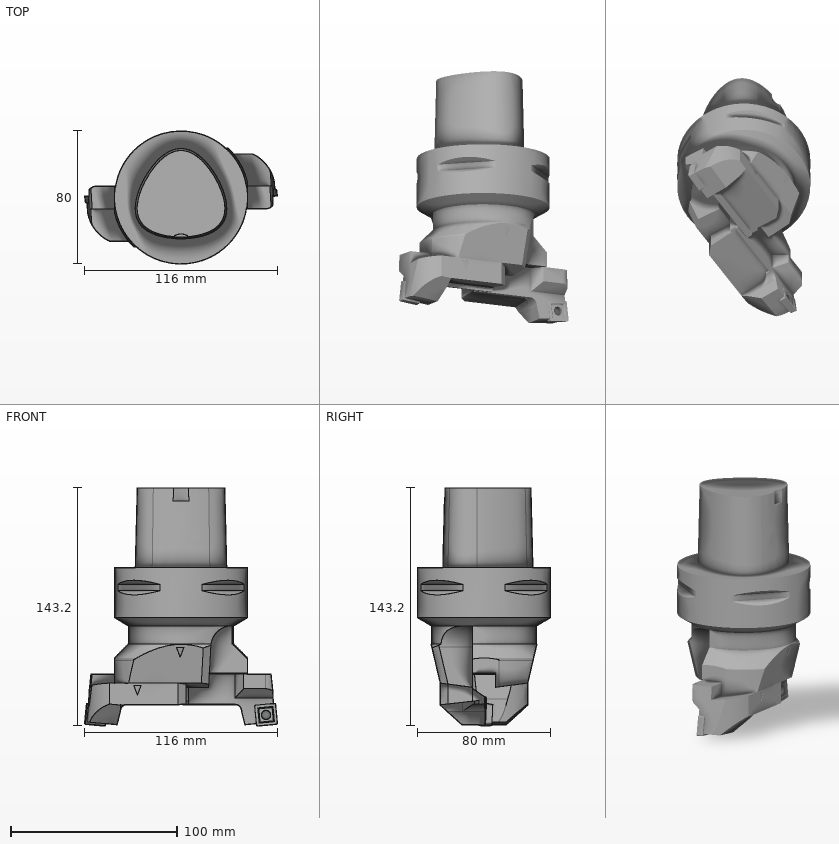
import cadquery as cq
import math


SHANK_LENGTH = 48.0
LOBE_MEAN_RADIUS = 27.15
LOBE_ECCENTRICITY = 2.3
LOBE_SPACING = 120
LOBE_HALF_ANGLE = 26.0
LOBE_SPLINE_POINTS = 9
TAPER_PER_SIDE = SHANK_LENGTH / 40
NOTCH_RADIUS = 7.25
NOTCH_WIDTH = 10.0
NOTCH_HEIGHT = 8.0
NOTCH_FLOOR_Y = -21.9

FLANGE_RADIUS = 40.0
FLANGE_HEIGHT = 30.0
GROOVE_ANGLES = (45, 135, 225, 315)
GROOVE_DEPTH = 4.3
GROOVE_FLOOR_HEIGHT = 3.6
GROOVE_MOUTH_HEIGHT = 8.8
GROOVE_Z = -11.9

NECK_RADIUS = 31.5
NECK_TOP_Z = -35.0
NECK_BOTTOM_Z = -45.7
HEAD_RADIUS = 41.0
HEAD_FLAT_X = 40.0
HEAD_EDGE_FILLET = 1.2
HEAD_CONE_BOTTOM_Z = NECK_BOTTOM_Z - (HEAD_RADIUS - NECK_RADIUS)

SLOT_HALF_WIDTH = 6.85
SLOT_ROOF_Z = -63.4
FLUTE_TOP_Z = -34.9
FLUTE_RADIUS = 12.7
FLUTE_WALL_TOP_X = 17.9
FLUTE_WALL_BOTTOM_X = 16.6
FLANK_CHAMFER = 4.5

SIDE_Y = 26.3
SIDE_TOP_Z = -69.3
SIDE_BOTTOM_Z = -82.4
WEDGE_ANGLE = 7.5
FLOOR_ANGLE = 6.5
RIB_SIDE_Y = -3.0
RIB_BOTTOM_Z = -82.0
WING_TOP_INNER_Z = SIDE_TOP_Z - (SIDE_Y - SLOT_HALF_WIDTH) * math.tan(math.radians(WEDGE_ANGLE))
FLANK_TILT = 13.3
KEY_TOP_Z = -63.9
WING_END_X = 3.0
WING_CHAMFER = 4.7
KEY_END_X = 4.6
LEFT_CHIP_FACE_Y = 0.5
RIGHT_CHIP_FACE_Y = -1.3
CHIP_ROOF_OUTER_Z = -72.7
CHIP_ROOF_INNER_Z = -78.2
CHIP_WALL_OUTER_X = -37.7
CHIP_WALL_INNER_X = -32.5
NOSE_CENTER_X = -33.0
NOSE_CENTER_Y = -5.0
NOSE_RADIUS = 23.5
KEY_CORNER_X = -50.8
KEY_CORNER_RADIUS = 5.5
END_TOP_X = -53.8
END_KNEE_X = -55.5
END_KNEE_Z = -79.0
END_BOTTOM_X = -56.9
END_SKEW = 3.5

ARM_BOTTOM_Z = -94.4
ARM_BOTTOM_SIDE_Y = -13.3
ARM_INNER_X = -36.4
ARM_INNER_BOTTOM_X = -38.4
ROOT_FILLET = 4.4
ROOT_SIDE_Y = -12.8
ROOT_SIDE_RADIUS = 8.0
ARM_TAPER_TOP_Z = RIB_BOTTOM_Z - ROOT_FILLET

INSERT_SIDE = 12.7
INSERT_THICKNESS = 3.97
INSERT_CORNER_RADIUS = 0.8
INSERT_CLEARANCE = 7.0
INSERT_TURN = 5.5
INSERT_LEAN = 2.5
INSERT_PROUD = INSERT_SIDE / 2 * math.sin(math.radians(INSERT_LEAN))
INSERT_TIP_X = -57.98
INSERT_TIP_Z = -95.21
INSERT_HOLE_DIAMETER = 5.5
INSERT_RECESS_SIDE = 9.2
INSERT_RECESS_DEPTH = 0.6
INSERT_RECESS_TAPER = 45.0

MARK_WIDTH = 4.4
MARK_HEIGHT = 5.8
MARK_DEPTH = 0.2
HOLDER_MARK_X = -0.5
HOLDER_MARK_TOP_Z = -48.0
SLIDE_MARK_X = -26.2
SLIDE_MARK_TOP_Z = -70.7

REACH = 100.0
EDGE_PICK_MARGIN = 0.1


def half_turn(body):
    turn = cq.Location(cq.Vector(0, 0, 0), cq.Vector(0, 0, 1), 180)
    return cq.Workplane(body.val().moved(turn))


def along_x(points, x_start, x_end):
    """Prism of a (y, z) outline between two X positions."""
    return cq.Workplane("YZ", origin=(x_start, 0, 0)).polyline(points).close().extrude(x_end - x_start)


def along_y(points, y_start, y_end):
    """Prism of an (x, z) outline between two Y positions."""
    return cq.Workplane("XZ", origin=(0, y_start, 0)).polyline(points).close().extrude(y_start - y_end)


def lobed_point(mean_radius, angle):
    """Point on a three-lobed curve with one lobe toward +Y; the angle runs from that lobe."""
    turn = math.radians(angle)
    x = mean_radius * math.sin(turn) - LOBE_ECCENTRICITY * math.sin(2 * turn)
    y = mean_radius * math.cos(turn) + LOBE_ECCENTRICITY * math.cos(2 * turn)
    return x, y


def lobed_wire(mean_radius, z):
    """Closed three-lobed outline made of three lobe arcs and the three flatter arcs between them."""
    edges = []
    for lobe_angle in (0, LOBE_SPACING, 2 * LOBE_SPACING):
        lobe_start = lobe_angle - LOBE_HALF_ANGLE
        lobe_end = lobe_angle + LOBE_HALF_ANGLE
        next_lobe_start = lobe_start + LOBE_SPACING
        for start, end in ((lobe_start, lobe_end), (lobe_end, next_lobe_start)):
            step = (end - start) / (LOBE_SPLINE_POINTS - 1)
            angles = [start + step * i for i in range(LOBE_SPLINE_POINTS)]
            points = [cq.Vector(*lobed_point(mean_radius, angle), z) for angle in angles]
            edges.append(cq.Edge.makeSpline(points))
    return cq.Wire.assembleEdges(edges)


def make_shank():
    bottom = lobed_wire(LOBE_MEAN_RADIUS, 0)
    top = lobed_wire(LOBE_MEAN_RADIUS - TAPER_PER_SIDE, SHANK_LENGTH)
    shank = cq.Workplane(cq.Solid.makeLoft([bottom, top], True))
    notch_base = cq.Workplane("XY", origin=(0, NOTCH_FLOOR_Y - NOTCH_RADIUS, SHANK_LENGTH - NOTCH_HEIGHT))
    notch_floor = notch_base.circle(NOTCH_RADIUS).extrude(NOTCH_HEIGHT)
    notch_sides = notch_base.rect(NOTCH_WIDTH, 2 * NOTCH_RADIUS).extrude(NOTCH_HEIGHT)
    return shank.cut(notch_floor.intersect(notch_sides))


def make_turned_body():
    profile = [
        (0, 0),
        (FLANGE_RADIUS, 0),
        (FLANGE_RADIUS, -FLANGE_HEIGHT),
        (NECK_RADIUS, NECK_TOP_Z),
        (NECK_RADIUS, NECK_BOTTOM_Z),
        (HEAD_RADIUS, HEAD_CONE_BOTTOM_Z),
        (HEAD_RADIUS, WING_TOP_INNER_Z),
        (0, WING_TOP_INNER_Z),
    ]
    body = cq.Workplane("XZ").polyline(profile).close().revolve(360, (0, 0, 0), (0, 1, 0))
    head_edge = cq.selectors.BoxSelector(
        (-REACH, -REACH, HEAD_CONE_BOTTOM_Z - EDGE_PICK_MARGIN),
        (REACH, REACH, HEAD_CONE_BOTTOM_Z + EDGE_PICK_MARGIN),
        boundingbox=True,
    )
    return body.edges(head_edge).fillet(HEAD_EDGE_FILLET)


def make_gripper_groove():
    floor_x = FLANGE_RADIUS - GROOVE_DEPTH
    half_floor = GROOVE_FLOOR_HEIGHT / 2
    half_mouth = GROOVE_MOUTH_HEIGHT / 2
    section = [
        (floor_x, GROOVE_Z - half_floor),
        (FLANGE_RADIUS, GROOVE_Z - half_mouth),
        (FLANGE_RADIUS, GROOVE_Z + half_mouth),
        (floor_x, GROOVE_Z + half_floor),
    ]
    return along_y(section, -FLANGE_RADIUS, FLANGE_RADIUS)


def make_flute():
    """Room beside the +X end of the slot on the -Y side: near-upright wall with a rounded top."""
    arc_center_x = FLUTE_WALL_TOP_X + FLUTE_RADIUS
    arc_center_z = FLUTE_TOP_Z - FLUTE_RADIUS
    arc_middle = FLUTE_RADIUS * math.sqrt(0.5)
    return (
        cq.Workplane("XZ", origin=(0, -SLOT_HALF_WIDTH, 0))
        .moveTo(FLUTE_WALL_BOTTOM_X, WING_TOP_INNER_Z)
        .lineTo(FLUTE_WALL_TOP_X, arc_center_z)
        .threePointArc(
            (arc_center_x - arc_middle, arc_center_z + arc_middle),
            (arc_center_x, FLUTE_TOP_Z),
        )
        .lineTo(REACH, FLUTE_TOP_Z)
        .lineTo(REACH, WING_TOP_INNER_Z)
        .close()
        .extrude(REACH)
    )


def flank_y(z):
    """Y of the sloping -Y flank of the head at a given height."""
    return -SIDE_Y - (z - SIDE_TOP_Z) * math.tan(math.radians(FLANK_TILT))


def make_flank_cut():
    outline = [
        (flank_y(WING_TOP_INNER_Z), WING_TOP_INNER_Z),
        (flank_y(NECK_TOP_Z), NECK_TOP_Z),
        (-REACH, NECK_TOP_Z),
        (-REACH, WING_TOP_INNER_Z),
    ]
    return along_x(outline, -REACH, REACH)


def make_flank_chamfer_cut():
    """Wedge removed along the corner of the sloping flank and the flute wall."""
    wall_slope = (FLUTE_WALL_TOP_X - FLUTE_WALL_BOTTOM_X) / (FLUTE_TOP_Z - FLUTE_RADIUS - WING_TOP_INNER_Z)

    def corner(z):
        x = FLUTE_WALL_BOTTOM_X + (z - WING_TOP_INNER_Z) * wall_slope
        y = flank_y(z)
        return [(x - FLANK_CHAMFER, y), (x, y), (x, y + FLANK_CHAMFER)]

    return (
        cq.Workplane("XY", origin=(0, 0, WING_TOP_INNER_Z))
        .polyline(corner(WING_TOP_INNER_Z))
        .close()
        .workplane(offset=NECK_BOTTOM_Z - WING_TOP_INNER_Z)
        .polyline(corner(NECK_BOTTOM_Z))
        .close()
        .loft(ruled=True)
    )


def make_wing_room():
    """Space under the sloping ceiling above the wing of the slide."""
    outline = [
        (-SLOT_HALF_WIDTH, WING_TOP_INNER_Z),
        (-SIDE_Y, SIDE_TOP_Z),
        (-REACH, SIDE_TOP_Z),
        (-REACH, WING_TOP_INNER_Z),
    ]
    return along_x(outline, -REACH, REACH)


def make_head_flat_cut():
    room = cq.Workplane("XY", origin=(HEAD_FLAT_X, 0, NECK_BOTTOM_Z))
    return room.rect(REACH, REACH).extrude(-REACH).translate((REACH / 2, 0, 0))


def make_mark(x, y, top_z, tilt):
    """Pointer mark, apex down, sunk into a flank that leans by the tilt angle."""
    outline = [(-MARK_WIDTH / 2, 0), (MARK_WIDTH / 2, 0), (0, -MARK_HEIGHT)]
    return (
        cq.Workplane("XZ")
        .polyline(outline)
        .close()
        .extrude(MARK_DEPTH, both=True)
        .rotate((0, 0, 0), (1, 0, 0), tilt)
        .translate((x, y, top_z))
    )


def make_holder():
    holder = make_turned_body().union(make_shank())
    for corner_angle in GROOVE_ANGLES:
        holder = holder.cut(make_gripper_groove().rotate((0, 0, 0), (0, 0, 1), corner_angle))

    slot_roof = cq.Workplane("XY", origin=(0, 0, SLOT_ROOF_Z)).rect(2 * REACH, 2 * SLOT_HALF_WIDTH)
    holder = holder.cut(slot_roof.extrude(-REACH))

    side_cuts = [
        make_flute(),
        make_flank_cut(),
        make_flank_chamfer_cut(),
        make_wing_room(),
        make_mark(HOLDER_MARK_X, flank_y(HOLDER_MARK_TOP_Z), HOLDER_MARK_TOP_Z, FLANK_TILT),
        make_head_flat_cut(),
    ]
    for cut in side_cuts:
        holder = holder.cut(cut).cut(half_turn(cut))
    return holder


def make_slide_section(chip_face_y):
    """Cross-section of the slide and its arm, swept along X."""
    outline = [
        (-SIDE_Y, SIDE_TOP_Z),
        (-SLOT_HALF_WIDTH, WING_TOP_INNER_Z),
        (-SLOT_HALF_WIDTH, KEY_TOP_Z),
        (SLOT_HALF_WIDTH, KEY_TOP_Z),
        (SLOT_HALF_WIDTH, CHIP_ROOF_OUTER_Z),
        (chip_face_y, CHIP_ROOF_INNER_Z),
        (chip_face_y, ARM_BOTTOM_Z),
        (-SIDE_Y, ARM_BOTTOM_Z),
    ]
    return along_x(outline, NOSE_CENTER_X - NOSE_RADIUS, KEY_END_X)


def make_arm_relief(chip_face_y):
    """Room below the arm: bottom and sloping side that rise toward the outer end like the insert."""
    outline = [
        (chip_face_y, ARM_BOTTOM_Z),
        (ARM_BOTTOM_SIDE_Y, ARM_BOTTOM_Z),
        (-SIDE_Y, SIDE_BOTTOM_Z),
        (-REACH, SIDE_BOTTOM_Z),
        (-REACH, -REACH),
        (chip_face_y, -REACH),
    ]
    relief = along_x(outline, -REACH, ARM_INNER_X)
    pivot = (ARM_INNER_BOTTOM_X, 0, ARM_BOTTOM_Z)
    return relief.rotate(pivot, (pivot[0], 1, pivot[2]), INSERT_TURN)


def nose_point(angle):
    x = NOSE_CENTER_X - NOSE_RADIUS * math.cos(math.radians(angle))
    y = NOSE_CENTER_Y - NOSE_RADIUS * math.sin(math.radians(angle))
    return x, y


def make_slide_plan(chip_face_y):
    """Outline of the slide in plan, with a round nose at its outer end."""
    nose_angle = math.degrees(math.asin((SIDE_Y + NOSE_CENTER_Y) / NOSE_RADIUS))
    corner_center_y = SLOT_HALF_WIDTH - KEY_CORNER_RADIUS
    corner_middle = KEY_CORNER_RADIUS * math.sqrt(0.5)
    return (
        cq.Workplane("XY", origin=(0, 0, ARM_BOTTOM_Z))
        .moveTo(*nose_point(0))
        .threePointArc(nose_point(nose_angle / 2), nose_point(nose_angle))
        .lineTo(WING_END_X - WING_CHAMFER, -SIDE_Y)
        .lineTo(WING_END_X, -SIDE_Y + WING_CHAMFER)
        .lineTo(WING_END_X, -SLOT_HALF_WIDTH)
        .lineTo(KEY_END_X, -SLOT_HALF_WIDTH)
        .lineTo(KEY_END_X, chip_face_y)
        .lineTo(CHIP_WALL_INNER_X, chip_face_y)
        .lineTo(CHIP_WALL_OUTER_X, SLOT_HALF_WIDTH)
        .lineTo(KEY_CORNER_X, SLOT_HALF_WIDTH)
        .threePointArc(
            (KEY_CORNER_X - corner_middle, corner_center_y + corner_middle),
            (KEY_CORNER_X - KEY_CORNER_RADIUS, corner_center_y),
        )
        .close()
        .extrude(KEY_TOP_Z - ARM_BOTTOM_Z)
    )


def make_slide_end():
    """Side profile that gives the slide its two leaning end faces."""
    outline = [
        (END_TOP_X, KEY_TOP_Z),
        (END_KNEE_X, END_KNEE_Z),
        (END_BOTTOM_X, ARM_BOTTOM_Z),
        (REACH, ARM_BOTTOM_Z),
        (REACH, KEY_TOP_Z),
    ]
    pivot = (END_TOP_X, 0, 0)
    return along_y(outline, -REACH, REACH).rotate(pivot, (END_TOP_X, 0, 1), END_SKEW)


def floor_z(y):
    """Height of the sloping underside of the slide."""
    return SIDE_BOTTOM_Z + (y + SIDE_Y) * math.tan(math.radians(FLOOR_ANGLE))


def make_room_under_slide(chip_face_y):
    below_floor = [
        (-SIDE_Y, floor_z(-SIDE_Y)),
        (RIB_SIDE_Y, floor_z(RIB_SIDE_Y)),
        (RIB_SIDE_Y, RIB_BOTTOM_Z),
        (chip_face_y, RIB_BOTTOM_Z),
        (chip_face_y, ARM_BOTTOM_Z),
        (-SIDE_Y, ARM_BOTTOM_Z),
    ]
    beside_arm = [
        (ARM_INNER_X, ARM_TAPER_TOP_Z),
        (ARM_INNER_X, ARM_BOTTOM_Z),
        (ARM_INNER_BOTTOM_X, ARM_BOTTOM_Z),
    ]
    room = along_x(below_floor, ARM_INNER_X, KEY_END_X)
    return room.union(along_y(beside_arm, -SIDE_Y, chip_face_y))


def make_arm_root(chip_face_y):
    """Concave fillet between the arm and the underside of the slide, hollowed on its -Y side."""
    root_top_z = floor_z(RIB_SIDE_Y)
    arc_center_x = ARM_INNER_X + ROOT_FILLET
    arc_middle = ROOT_FILLET * math.sqrt(0.5)
    fillet = (
        cq.Workplane("XZ", origin=(0, chip_face_y, 0))
        .moveTo(ARM_INNER_X, ARM_TAPER_TOP_Z)
        .threePointArc(
            (arc_center_x - arc_middle, ARM_TAPER_TOP_Z + arc_middle),
            (arc_center_x, RIB_BOTTOM_Z),
        )
        .lineTo(arc_center_x, root_top_z)
        .lineTo(ARM_INNER_X, root_top_z)
        .close()
        .extrude(chip_face_y - ROOT_SIDE_Y)
    )
    hollow = (
        cq.Workplane("XY", origin=(ARM_INNER_X + ROOT_SIDE_RADIUS, ROOT_SIDE_Y, ARM_TAPER_TOP_Z))
        .circle(ROOT_SIDE_RADIUS)
        .extrude(root_top_z - ARM_TAPER_TOP_Z)
    )
    return fillet.cut(hollow)


def insert_plane(chip_face_y):
    """Plane of the rake face, centred on the insert so that its corners reach the tip limits."""
    turn = math.radians(INSERT_TURN)
    straight = INSERT_SIDE / 2 - INSERT_CORNER_RADIUS
    half_span = straight * (math.cos(turn) + math.sin(turn)) + INSERT_CORNER_RADIUS
    half_height = half_span * math.cos(math.radians(INSERT_LEAN))
    center = (INSERT_TIP_X + half_span, chip_face_y + INSERT_PROUD, INSERT_TIP_Z + half_height)
    upright = cq.Plane(origin=center, xDir=(-1, 0, 0), normal=(0, 1, 0))
    return upright.rotated((-INSERT_LEAN, 0, INSERT_TURN))


def make_insert_blank(chip_face_y):
    outline = cq.Sketch().rect(INSERT_SIDE, INSERT_SIDE).vertices().fillet(INSERT_CORNER_RADIUS)
    rake_face = cq.Workplane(insert_plane(chip_face_y)).placeSketch(outline)
    return rake_face.extrude(-INSERT_THICKNESS, taper=INSERT_CLEARANCE)


def make_insert(chip_face_y):
    recess = (
        cq.Workplane(insert_plane(chip_face_y))
        .rect(INSERT_RECESS_SIDE, INSERT_RECESS_SIDE)
        .extrude(-INSERT_RECESS_DEPTH, taper=INSERT_RECESS_TAPER)
    )
    hole = (
        cq.Workplane(insert_plane(chip_face_y))
        .circle(INSERT_HOLE_DIAMETER / 2)
        .extrude(-INSERT_THICKNESS)
    )
    return make_insert_blank(chip_face_y).cut(recess).cut(hole)


def make_slide(chip_face_y):
    slide = make_slide_section(chip_face_y).intersect(make_slide_plan(chip_face_y))
    slide = slide.intersect(make_slide_end())
    slide = slide.cut(make_arm_relief(chip_face_y)).cut(make_room_under_slide(chip_face_y))
    slide = slide.union(make_arm_root(chip_face_y))
    slide = slide.cut(make_mark(SLIDE_MARK_X, -SIDE_Y, SLIDE_MARK_TOP_Z, 0))
    return slide.cut(make_insert_blank(chip_face_y))


holder = make_holder()
left_slide = make_slide(LEFT_CHIP_FACE_Y)
left_insert = make_insert(LEFT_CHIP_FACE_Y)
right_slide = half_turn(make_slide(RIGHT_CHIP_FACE_Y))
right_insert = half_turn(make_insert(RIGHT_CHIP_FACE_Y))

bodies = [holder, left_slide, left_insert, right_slide, right_insert]
result = cq.Compound.makeCompound([body.solids().val() for body in bodies])